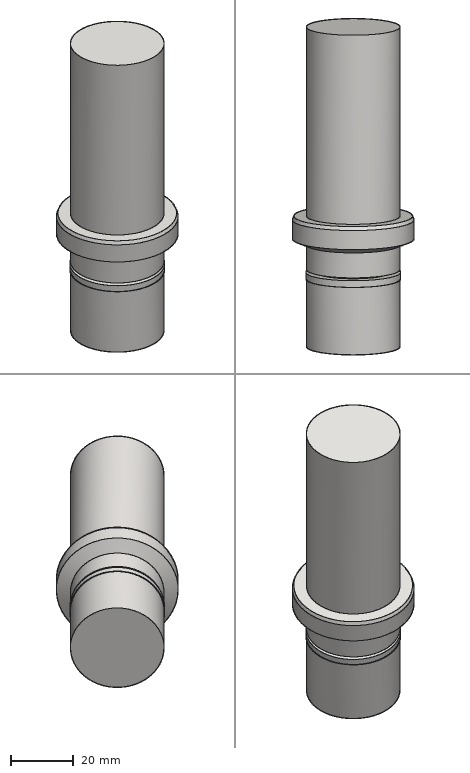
import cadquery as cq

shaft_radius = 15.0
collar_radius = 19.5
groove_radius = 11.8
band_radius = 15.2

total_height = 104.0
band_bottom = 22.0
band_height = 2.2
groove_width = 0.9
cone_bottom = 33.2
cone_height = 1.9
collar_top = 42.5

bevel_width = 0.5
bevel_height = 1.2

band_top = band_bottom + band_height
cone_top = cone_bottom + cone_height


def cylinder(radius, bottom, height):
    """Cylinder around the Z axis standing on the given height."""
    return cq.Workplane("XY", origin=(0, 0, bottom)).circle(radius).extrude(height)


def make_collar():
    """Collar with a conical underside and a steep bevel on its upper edge."""
    profile = (
        cq.Workplane("XZ")
        .moveTo(0, cone_bottom)
        .lineTo(shaft_radius, cone_bottom)
        .lineTo(collar_radius, cone_top)
        .lineTo(collar_radius, collar_top - bevel_height)
        .lineTo(collar_radius - bevel_width, collar_top)
        .lineTo(0, collar_top)
        .close()
    )
    return profile.revolve(360, (0, 0, 0), (0, 1, 0))


def make_groove():
    """Ring of material removed from the shaft just above the band."""
    outer = cylinder(band_radius, band_top, groove_width)
    core = cylinder(groove_radius, band_top, groove_width)
    return outer.cut(core)


shaft = cylinder(shaft_radius, 0, total_height)
band = cylinder(band_radius, band_bottom, band_height)

result = shaft.union(make_collar()).union(band).cut(make_groove())